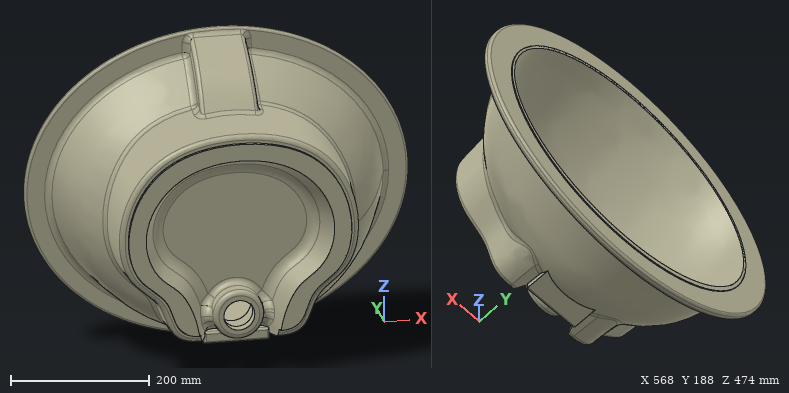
import cadquery as cq
import math

TOTAL_DEPTH = 188.0

RIM_WIDTH = 568.0
RIM_HEIGHT = 474.0
RIM_THICKNESS = 12.5
RIM_EDGE_RADIUS = 4.0
CROWN_HEIGHT = 1.5
CROWN_WIDTH = 477.0
CROWN_MARGIN = 40.0

BOWL_BOTTOM = -203.0
BOWL_SECTIONS = [
    (5.5, 250.0, 207.0, BOWL_BOTTOM),
    (68.0, 224.0, 159.0, BOWL_BOTTOM),
    (105.0, 192.0, 116.5, BOWL_BOTTOM),
    (129.0, 147.5, 74.0, -195.0),
]
BOWL_NOSE = (142.0, 79.5, 28.5, -170.5)
WALL = 16.0

PAD_OUTLINE = [(0, 121.0), (-119.5, 83.0), (-165.0, -18.0), (-144.0, -84.0), (-107.5, -119.5), (-90.0, -159.0)]
PAD_END = (-62.5, -171.5)
PAD_HEIGHT = 4.5
PAD_INSET = 11.5
FOOT_START = 76.5
FOOT_DRAFT = 5.0
FOOT_LEAN = 4.5
SHOULDER_RADIUS = 7.5

POCKET_OUTLINE = [(0, 95.5), (-99.5, 62.5), (-139.0, -18.0), (-116.0, -79.5), (-89.0, -102.0), (-71.5, -130.5)]
POCKET_END = (-61.5, -238.5)
POCKET_FLOOR = 147.5
POCKET_DRAFT = 28.0
POCKET_FLOOR_RADIUS = 19.5

DRAIN_Z = -146.5
BOSS_RADIUS = 37.5
BOSS_DEPTH = 180.0
BOSS_EDGE_RADIUS = 7.5
DRAIN_RADIUS = 23.0
DRAIN_WALL = 15.5
SUMP_RADIUS = 27.0

SILL_WIDTH = 96.5
SILL_BOTTOM = -194.0
SILL_TOP = -176.0
SILL_START = 113.5
SILL_END = 162.5
SILL_EDGE_RADIUS = 3.5

RIB_TOP_HALF_WIDTH = 40.5
RIB_LOW_HALF_WIDTH = 44.0
RIB_START = (13.5, 229.0)
RIB_MIDDLE = (67.5, 194.0)
RIB_END = (117.0, 135.0)
RIB_INNER_Z = 113.5
RIB_EDGE_RADIUS = 5.5

FOOT_JOINT_RADIUS = 11.5
RIM_JOINT_RADIUS = 10.0
BOSS_JOINT_RADIUS = 9.0
JOINT_TOLERANCE = 0.005


def plane_at(depth):
    """Plane parallel to the rim; extruding from it goes deeper, toward -Y."""
    return cq.Workplane("XZ", origin=(0, -depth, 0))


def loft_ellipses(sections):
    wires = []
    for depth, half_width, top, bottom in sections:
        section = plane_at(depth).center(0, (top + bottom) / 2)
        wires.append(section.ellipse(half_width, (top - bottom) / 2).wires().val())
    return cq.Workplane(cq.Solid.makeLoft(wires))


def mirrored_outline(points, end):
    """Points from the left end over the top to the right end; points run from the top to the left."""
    left = [end] + points[:0:-1]
    return left + [points[0]] + [(-x, z) for x, z in reversed(left)]


def grown(points, amount):
    """Move each point outward by amount, square to the line between its neighbours."""
    moved = []
    for i, (x, z) in enumerate(points):
        before = points[i - 1]
        after = points[(i + 1) % len(points)]
        along_x = after[0] - before[0]
        along_z = after[1] - before[1]
        length = math.hypot(along_x, along_z)
        moved.append((x - amount * along_z / length, z + amount * along_x / length))
    return moved


def horseshoe(start, start_points, end, end_points):
    """Straight-walled solid between two depths; each outline is a smooth curve with a straight bottom."""
    wires = []
    for depth, points in ((start, start_points), (end, end_points)):
        wires.append(plane_at(depth).spline(points).close().val())
    return cq.Workplane(cq.Solid.makeLoft(wires, True))


def drain_cylinder(radius, start, end):
    return plane_at(start).center(0, DRAIN_Z).circle(radius).extrude(end - start)


def joint_edges(body, first, second):
    """Edges of body that lie on the skins of both first and second."""
    skins = [part.shells().val() for part in (first, second)]
    found = []
    for edge in body.edges().vals():
        middle = cq.Vertex.makeVertex(*edge.positionAt(0.5).toTuple())
        if all(skin.distance(middle) < JOINT_TOLERANCE for skin in skins):
            found.append(edge)
    return found


def make_rim():
    half_height = RIM_HEIGHT / 2
    flange = plane_at(CROWN_HEIGHT).ellipse(RIM_WIDTH / 2, half_height).extrude(RIM_THICKNESS)
    flange = flange.edges().fillet(RIM_EDGE_RADIUS)
    crown = plane_at(0).ellipse(CROWN_WIDTH / 2, half_height - CROWN_MARGIN).extrude(RIM_THICKNESS)
    return flange.union(crown)


def make_foot():
    shoulder = TOTAL_DEPTH - PAD_HEIGHT
    pad_points = mirrored_outline(PAD_OUTLINE, PAD_END)
    pad = horseshoe(shoulder - PAD_HEIGHT, pad_points, TOTAL_DEPTH, pad_points)
    shoulder_points = grown(pad_points, PAD_INSET)
    growth = (shoulder - FOOT_START) * math.tan(math.radians(FOOT_DRAFT))
    start_points = [(x, z + FOOT_LEAN) for x, z in grown(shoulder_points, growth)]
    wall = horseshoe(FOOT_START, start_points, shoulder, shoulder_points)
    wall = wall.faces("<Y").edges().fillet(SHOULDER_RADIUS)
    return wall.union(pad)


def make_rib():
    top_z = RIB_START[1]
    plan = [
        (-RIB_TOP_HALF_WIDTH, top_z),
        (RIB_TOP_HALF_WIDTH, top_z),
        (RIB_LOW_HALF_WIDTH, RIB_INNER_Z),
        (-RIB_LOW_HALF_WIDTH, RIB_INNER_Z),
    ]
    block = plane_at(0).polyline(plan).close().extrude(TOTAL_DEPTH)
    start, middle, end = [(-depth, z) for depth, z in (RIB_START, RIB_MIDDLE, RIB_END)]
    profile = cq.Workplane("YZ").moveTo(*start).threePointArc(middle, end)
    profile = profile.lineTo(end[0], RIB_INNER_Z).lineTo(start[0], RIB_INNER_Z).close()
    rib = block.intersect(profile.extrude(RIM_WIDTH / 2, both=True))
    return rib.edges("not %LINE").fillet(RIB_EDGE_RADIUS)


def make_shell_outside():
    """Rim, bowl, foot and rib, blended into one solid."""
    rim = make_rim()
    bowl = loft_ellipses(BOWL_SECTIONS + [BOWL_NOSE])
    foot = make_foot()
    rib = make_rib()
    bowl_and_foot = bowl.union(foot)
    foot_joint = joint_edges(bowl_and_foot, bowl, foot)
    bowl_and_foot = bowl_and_foot.newObject(foot_joint).fillet(FOOT_JOINT_RADIUS)
    without_rib = bowl_and_foot.union(rim)
    body = without_rib.union(rib)
    joints = joint_edges(body, rib, without_rib) + joint_edges(body, rim, bowl_and_foot)
    return body.newObject(joints).fillet(RIM_JOINT_RADIUS)


def make_pocket():
    points = mirrored_outline(POCKET_OUTLINE, POCKET_END)
    inset = (TOTAL_DEPTH - POCKET_FLOOR) * math.tan(math.radians(POCKET_DRAFT))
    pocket = horseshoe(POCKET_FLOOR, grown(points, -inset), TOTAL_DEPTH, points)
    return pocket.faces(">Y").edges().fillet(POCKET_FLOOR_RADIUS)


def make_boss():
    boss = drain_cylinder(BOSS_RADIUS, POCKET_FLOOR - WALL / 2, BOSS_DEPTH)
    return boss.faces("<Y").edges().fillet(BOSS_EDGE_RADIUS)


def make_sill():
    sill = plane_at(SILL_START).center(0, (SILL_TOP + SILL_BOTTOM) / 2)
    sill = sill.rect(SILL_WIDTH, SILL_TOP - SILL_BOTTOM).extrude(SILL_END - SILL_START)
    return sill.faces("<Y").edges().fillet(SILL_EDGE_RADIUS)


def make_cavity():
    """Inside of the bowl, from the open back down to the bowl floor."""
    sections = [
        (depth, half_width - WALL, top - WALL, bottom + WALL)
        for depth, half_width, top, bottom in BOWL_SECTIONS
    ]
    sections[0] = (0, *sections[0][1:])
    return loft_ellipses(sections)


def make_basin():
    pocketed = make_shell_outside().cut(make_pocket())
    boss = make_boss()
    basin = pocketed.union(boss)
    boss_joint = joint_edges(basin, boss, pocketed)
    basin = basin.newObject(boss_joint).fillet(BOSS_JOINT_RADIUS)
    basin = basin.union(make_sill())
    basin = basin.cut(make_cavity())
    basin = basin.cut(drain_cylinder(SUMP_RADIUS, FOOT_START, BOSS_DEPTH - DRAIN_WALL))
    return basin.cut(drain_cylinder(DRAIN_RADIUS, FOOT_START, TOTAL_DEPTH))


basin = make_basin()

result = cq.Compound.makeCompound([basin.solids().val()])